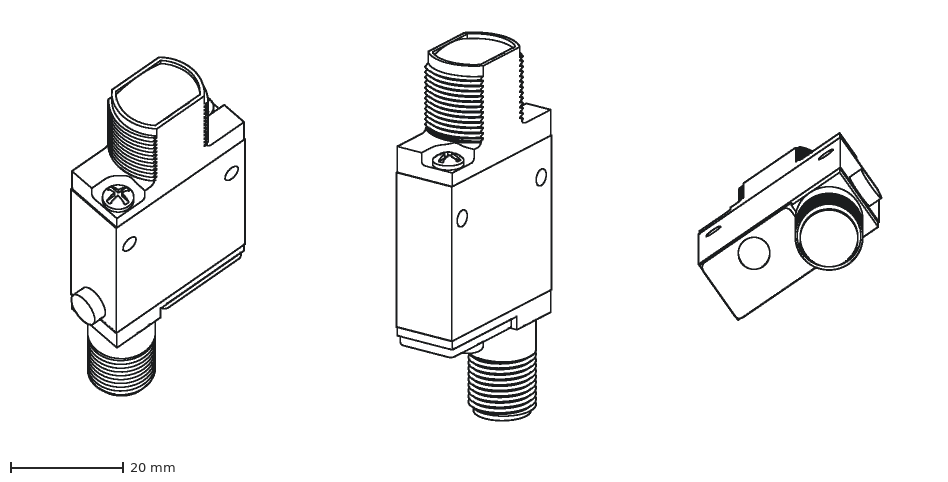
import cadquery as cq
import math


BODY_WIDTH = 12.09
BODY_LENGTH = 30.8
BODY_BOTTOM = 22.3
BODY_TOP = 51.9
CAP_WIDTH = 12.05
CAP_LENGTH = 30.4
CAP_TOP = 56.85
BASE_BOTTOM = 20.6
FOOT_BOTTOM = 18.05
FOOT_INNER_Y = -4.75

MOUNT_HOLE_DIAMETER = 3.1
MOUNT_HOLE_SPACING = 24.4
MOUNT_HOLE_Z = 44.85
POST_RADIUS = 1.0
POST_Y = -10.85

BUTTON_RADIUS = 3.15
BUTTON_HEIGHT = 2.52
BUTTON_Z = 25.5

HEAD_CORE_RADIUS = 8.25
HEAD_THREAD_RADIUS = 8.95
HEAD_THREAD_PITCH = 1.0
HEAD_THREAD_TURNS = 13
HEAD_COLLAR_BOTTOM = 69.95
HEAD_TOP = 71.95
NECK_RADIUS = 8.7
NECK_FILLET = 0.9

LENS_TOP = 72.7
LENS_SPHERE_RADIUS = 18.0
LENS_RECESS_RADIUS = 7.5
LENS_RECESS_WIDTH = 10.5
LENS_RECESS_FLOOR = 71.0

SCREW_X = -3.0
SCREW_Y = 12.2
SCREW_RADIUS = 2.8
SCREW_RIM_HEIGHT = 0.8
SCREW_HEIGHT = 2.1
SLOT_WIDTH = 0.9
SLOT_DEPTH = 0.9
POCKET_FLOOR = 54.5
POCKET_RADIUS = 3.7
POCKET_FILLET = 0.8

COVER_WIDTH = 11.9
COVER_OUTER_Y = 15.15
COVER_INNER_Y = -3.85
COVER_BOTTOM = 18.75
COVER_CORNER_RADIUS = 1.1
COVER_EDGE_FILLET = 0.6
COVER_SCREW_X = -2.65
COVER_SCREW_Y = 5.7
COVER_SCREW_RADIUS = 2.8
COVER_SCREW_HEIGHT = 1.75
COVER_SCREW_FILLET = 0.7

CONNECTOR_Y = -8.72
CONNECTOR_RADIUS = BODY_WIDTH / 2
CONNECTOR_CORE_RADIUS = 5.35
CONNECTOR_TIP_RADIUS = 5.15
CONNECTOR_TIP_HEIGHT = 1.1
CONNECTOR_THREAD_TOP = 11.6
CONNECTOR_THREAD_PITCH = 1.07
CONNECTOR_THREAD_TURNS = 11

OVERLAP = 0.3
THREAD_EMBED = 0.05
ROOT_SHARE = 0.99


def box(x_range, y_range, z_range):
    """Box between the given limits along each axis."""
    size = [high - low for low, high in (x_range, y_range, z_range)]
    corner = (x_range[0], y_range[0], z_range[0])
    return cq.Workplane("XY").box(*size, centered=False).translate(corner)


def centered_box(width, length, bottom, top):
    """Box centred on the Z axis between two heights."""
    return box((-width / 2, width / 2), (-length / 2, length / 2), (bottom, top))


def cylinder(radius, bottom, top, x=0, y=0):
    """Vertical cylinder between two heights."""
    return cq.Workplane("XY", origin=(x, y, bottom)).circle(radius).extrude(top - bottom)


def thread_ridge(core_radius, crest_radius, pitch, turns, bottom, top):
    """Helical ridge of V section on a core, trimmed square at both heights."""
    root_radius = core_radius - THREAD_EMBED
    half_root = ROOT_SHARE * pitch / 2
    helix = cq.Wire.makeHelix(pitch, pitch * turns, root_radius)
    ridge = (
        cq.Workplane("XZ")
        .polyline([
            (root_radius, -half_root),
            (crest_radius, 0),
            (root_radius, half_root),
        ])
        .close()
        .sweep(cq.Workplane(obj=helix), isFrenet=True)
        .translate((0, 0, (bottom + top - pitch * turns) / 2))
    )
    return ridge.intersect(cylinder(crest_radius + OVERLAP, bottom, top))


def housing():
    """Main body between the slightly smaller upper cap and lower base."""
    half_width = CAP_WIDTH / 2
    body = centered_box(BODY_WIDTH, BODY_LENGTH, BODY_BOTTOM, BODY_TOP)
    cap = centered_box(CAP_WIDTH, CAP_LENGTH, BODY_TOP, CAP_TOP)
    base = centered_box(CAP_WIDTH, CAP_LENGTH, BASE_BOTTOM, BODY_BOTTOM)
    foot = box((-half_width, half_width), (-CAP_LENGTH / 2, FOOT_INNER_Y), (FOOT_BOTTOM, BASE_BOTTOM))
    return body.union(cap).union(base).union(foot)


def mounting_holes():
    """Two holes through the body along X."""
    half_spacing = MOUNT_HOLE_SPACING / 2
    return (
        cq.Workplane("YZ", origin=(0, 0, MOUNT_HOLE_Z))
        .pushPoints([(-half_spacing, 0), (half_spacing, 0)])
        .circle(MOUNT_HOLE_DIAMETER / 2)
        .extrude(BODY_WIDTH, both=True)
    )


def hole_post():
    """Upright post that partly blocks the mounting hole nearer the button."""
    radius = MOUNT_HOLE_DIAMETER / 2
    return cylinder(POST_RADIUS, MOUNT_HOLE_Z - radius - OVERLAP, MOUNT_HOLE_Z + radius + OVERLAP, y=POST_Y)


def button():
    """Round button standing out of the -Y face."""
    return (
        cq.Workplane("XZ", origin=(0, -BODY_LENGTH / 2 + OVERLAP, BUTTON_Z))
        .circle(BUTTON_RADIUS)
        .extrude(BUTTON_HEIGHT + OVERLAP)
    )


def lens_recess():
    """Space above the domed lens inside the rim of the head."""
    recess = cylinder(LENS_RECESS_RADIUS, LENS_RECESS_FLOOR, LENS_TOP).intersect(
        centered_box(LENS_RECESS_WIDTH, 2 * LENS_RECESS_RADIUS, LENS_RECESS_FLOOR, LENS_TOP)
    )
    sphere = cq.Workplane("XY").sphere(LENS_SPHERE_RADIUS).translate((0, 0, LENS_TOP - LENS_SPHERE_RADIUS))
    lens = recess.intersect(sphere)
    return recess, lens


def sensing_head():
    """Threaded head with two flats, a filleted neck and the domed lens."""
    fillet_radius = NECK_RADIUS + NECK_FILLET
    neck_top = CAP_TOP + NECK_FILLET
    arc_offset = NECK_FILLET * (1 - math.sqrt(0.5))
    neck = (
        cq.Workplane("XZ")
        .moveTo(0, CAP_TOP - OVERLAP)
        .lineTo(fillet_radius, CAP_TOP - OVERLAP)
        .lineTo(fillet_radius, CAP_TOP)
        .threePointArc((NECK_RADIUS + arc_offset, CAP_TOP + arc_offset), (NECK_RADIUS, neck_top))
        .lineTo(0, neck_top)
        .close()
        .revolve(360, (0, 0, 0), (0, 1, 0))
    )
    ridge = thread_ridge(
        HEAD_CORE_RADIUS,
        HEAD_THREAD_RADIUS,
        HEAD_THREAD_PITCH,
        HEAD_THREAD_TURNS,
        neck_top - OVERLAP,
        HEAD_COLLAR_BOTTOM,
    )
    core = cylinder(HEAD_CORE_RADIUS, CAP_TOP - OVERLAP, HEAD_TOP)
    flats = centered_box(CAP_WIDTH, CAP_LENGTH, CAP_TOP - OVERLAP, HEAD_TOP)
    recess, lens = lens_recess()
    return core.union(ridge).union(neck).intersect(flats).cut(recess).union(lens)


def screw_pocket():
    """Corner pocket around the adjustment screw, open at two sides of the cap."""
    side = -CAP_WIDTH
    end = CAP_LENGTH
    top = CAP_TOP + NECK_FILLET
    return (
        cq.Workplane("XY", origin=(0, 0, POCKET_FLOOR))
        .moveTo(side, SCREW_Y - POCKET_RADIUS)
        .lineTo(SCREW_X, SCREW_Y - POCKET_RADIUS)
        .radiusArc((SCREW_X + POCKET_RADIUS, SCREW_Y), -POCKET_RADIUS)
        .lineTo(SCREW_X + POCKET_RADIUS, end)
        .lineTo(side, end)
        .close()
        .extrude(top - POCKET_FLOOR)
        .faces("<Z")
        .edges("not(<X or >Y)")
        .fillet(POCKET_FILLET)
    )


def adjustment_screw():
    """Domed screw head with a cross slot."""
    rim_z = POCKET_FLOOR + SCREW_RIM_HEIGHT
    top = POCKET_FLOOR + SCREW_HEIGHT
    rise = top - rim_z
    dome_radius = (SCREW_RADIUS ** 2 + rise ** 2) / (2 * rise)
    dome = cq.Workplane("XY").sphere(dome_radius).translate((SCREW_X, SCREW_Y, top - dome_radius))
    head = cylinder(SCREW_RADIUS, POCKET_FLOOR - OVERLAP, top, SCREW_X, SCREW_Y).intersect(dome)
    slot = centered_box(SLOT_WIDTH, 2 * SCREW_RADIUS, top - SLOT_DEPTH, top)
    for angle in (0, 90):
        head = head.cut(slot.rotate((0, 0, 0), (0, 0, 1), angle).translate((SCREW_X, SCREW_Y, 0)))
    return head


def cover_plate():
    """Rounded plate under the base with its fastening screw."""
    half_width = COVER_WIDTH / 2
    screw_bottom = COVER_BOTTOM - COVER_SCREW_HEIGHT
    plate = (
        box((-half_width, half_width), (COVER_INNER_Y, COVER_OUTER_Y), (COVER_BOTTOM, BASE_BOTTOM))
        .edges("|Z")
        .fillet(COVER_CORNER_RADIUS)
        .faces("<Z")
        .edges()
        .fillet(COVER_EDGE_FILLET)
    )
    screw = (
        cylinder(COVER_SCREW_RADIUS, screw_bottom, COVER_BOTTOM + OVERLAP, COVER_SCREW_X, COVER_SCREW_Y)
        .faces("<Z")
        .edges()
        .fillet(COVER_SCREW_FILLET)
    )
    return plate.union(screw)


def connector():
    """Round cable connector with an external thread and a plain tip."""
    collar = cylinder(CONNECTOR_RADIUS, CONNECTOR_THREAD_TOP, FOOT_BOTTOM)
    core = cylinder(CONNECTOR_CORE_RADIUS, CONNECTOR_TIP_HEIGHT, CONNECTOR_THREAD_TOP)
    tip = cylinder(CONNECTOR_TIP_RADIUS, 0, CONNECTOR_TIP_HEIGHT)
    ridge = thread_ridge(
        CONNECTOR_CORE_RADIUS,
        CONNECTOR_RADIUS,
        CONNECTOR_THREAD_PITCH,
        CONNECTOR_THREAD_TURNS,
        CONNECTOR_TIP_HEIGHT,
        CONNECTOR_THREAD_TOP,
    )
    return core.union(ridge).union(collar).union(tip).translate((0, CONNECTOR_Y, 0))


result = housing().union(sensing_head()).cut(mounting_holes()).union(hole_post())
for turn in (0, 180):
    result = result.cut(screw_pocket().rotate((0, 0, 0), (0, 0, 1), turn))
    result = result.union(adjustment_screw().rotate((0, 0, 0), (0, 0, 1), turn))
result = result.union(button()).union(cover_plate()).union(connector())